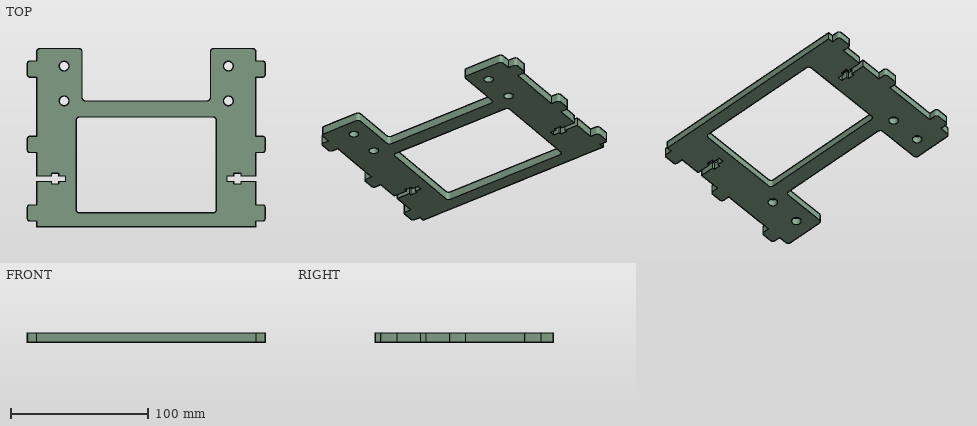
import cadquery as cq

overall_width = 173.6
plate_depth = 130.0
thickness = 6.8
corner_radius = 2.5

tab_length = thickness
tab_width = 12.0
tab_radius = 2.0
tab_centers_y = (10.0, 60.0, 115.0)

body_width = overall_width - 2 * tab_length
leg_width = 33.3
notch_floor_y = 91.8
notch_width = body_width - 2 * leg_width
notch_depth = plate_depth - notch_floor_y

window_width = 102.0
window_front_y = 10.2
window_rear_y = 80.0
window_depth = window_rear_y - window_front_y

hole_diameter = 7.0
hole_spacing_x = 119.8
hole_spacing_y = 25.3
hole_center_y = 104.5

slot_center_y = 35.0
slot_length = 21.0
slot_width = 3.8
nut_center_depth = 13.5
nut_thickness = 5.0
nut_width = 7.6


def block(size_x, size_y, center_x, center_y):
    """Full-thickness block resting on Z = 0."""
    return (
        cq.Workplane("XY")
        .center(center_x, center_y)
        .rect(size_x, size_y)
        .extrude(thickness)
    )


def make_body():
    return block(body_width, plate_depth, 0, plate_depth / 2)


def make_notch():
    """Rear notch between the legs, with rounded inner corners."""
    notch = block(notch_width, notch_depth, 0, notch_floor_y + notch_depth / 2)
    return notch.edges("|Z and <Y").fillet(corner_radius)


def make_tab_bar(center_y):
    """Bar across the whole width whose two rounded ends form a pair of tabs."""
    return block(overall_width, tab_width, 0, center_y).edges("|Z").fillet(tab_radius)


def make_window():
    window = block(window_width, window_depth, 0, window_front_y + window_depth / 2)
    return window.edges("|Z").fillet(corner_radius)


def make_holes():
    return (
        cq.Workplane("XY")
        .center(0, hole_center_y)
        .rarray(hole_spacing_x, hole_spacing_y, 2, 2)
        .circle(hole_diameter / 2)
        .extrude(thickness)
    )


def make_slot(side):
    """Cross-shaped slot entering from the side edge; side is -1 or +1."""
    edge_x = side * body_width / 2
    screw_x = edge_x - side * slot_length / 2
    nut_x = edge_x - side * nut_center_depth
    screw_slot = block(slot_length, slot_width, screw_x, slot_center_y)
    nut_pocket = block(nut_thickness, nut_width, nut_x, slot_center_y)
    return screw_slot.union(nut_pocket)


result = make_body()
for tab_y in tab_centers_y:
    result = result.union(make_tab_bar(tab_y))
result = result.cut(make_notch()).cut(make_window()).cut(make_holes())
for slot_side in (-1, 1):
    result = result.cut(make_slot(slot_side))
result = result.edges("|Z and >Y").fillet(corner_radius)